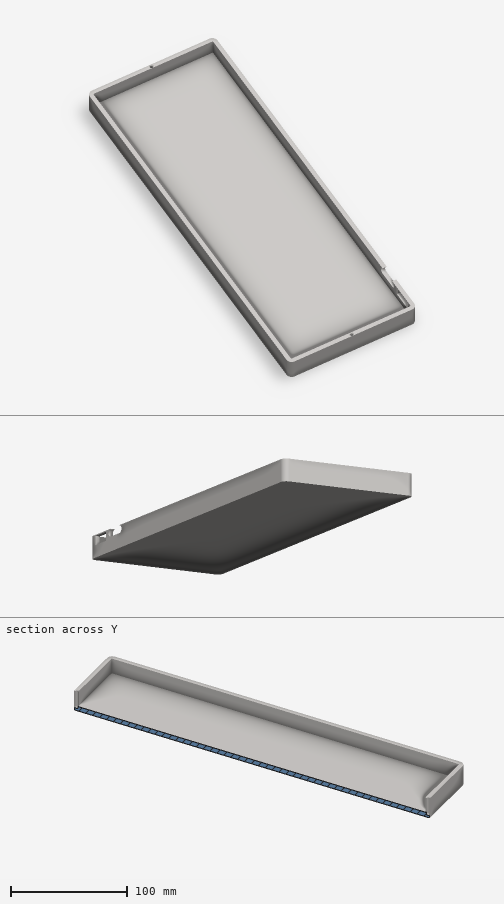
import cadquery as cq
import math

length = 348.0
width = 126.0
height = 20.0
wall = 4.0
floor = 5.0
corner_radius = 5.0

cable_x = 130.0
cable_length = 23.0
cable_bottom = 13.0
cable_top = 19.5
mouth_length = 16.5

window_left = 146.0
window_right = 165.0
window_bottom = 11.0
window_top = 19.0

screw_y = -0.5
screw_diameter = 2.5
screw_bottom = 3.0
drill_point_angle = 118.0
countersink_diameter = 4.0
countersink_angle = 90.0

back_wall_y = (width - wall) / 2
side_wall_x = (length - wall) / 2


def block(x_size, y_size, bottom, top):
    """A box centred on the Z axis between two heights."""
    return cq.Workplane("XY", origin=(0, 0, bottom)).rect(x_size, y_size).extrude(top - bottom)


def cone_depth(large_diameter, small_diameter, angle):
    """Height of a cone frustum with the given included angle."""
    return (large_diameter - small_diameter) / 2 / math.tan(math.radians(angle / 2))


def tray():
    body = block(length, width, 0, height).edges("|Z").fillet(corner_radius)
    cavity = block(length - 2 * wall, width - 2 * wall, floor, height)
    return body.cut(cavity)


def cable_slot():
    cable_height = cable_top - cable_bottom
    middle_z = (cable_top + cable_bottom) / 2
    slot = (
        cq.Workplane("XZ", origin=(cable_x, back_wall_y, middle_z))
        .slot2D(cable_length, cable_height)
        .extrude(wall / 2, both=True)
    )
    mouth = block(mouth_length, wall, middle_z, height).translate((cable_x, back_wall_y, 0))
    return slot.union(mouth)


def window():
    opening = block(window_right - window_left, wall, window_bottom, window_top)
    return opening.translate(((window_left + window_right) / 2, back_wall_y, 0))


def screw_hole(x):
    screw_radius = screw_diameter / 2
    countersink_radius = countersink_diameter / 2
    tip_z = screw_bottom - cone_depth(screw_diameter, 0, drill_point_angle)
    countersink_z = height - cone_depth(countersink_diameter, screw_diameter, countersink_angle)
    half_profile = [
        (0, tip_z),
        (screw_radius, screw_bottom),
        (screw_radius, countersink_z),
        (countersink_radius, height),
        (0, height),
    ]
    hole = cq.Workplane("XZ").polyline(half_profile).close().revolve(360, (0, 0), (0, 1))
    return hole.translate((x, screw_y, 0))


result = tray().cut(cable_slot()).cut(window())
for hole_x in (-side_wall_x, side_wall_x):
    result = result.cut(screw_hole(hole_x))